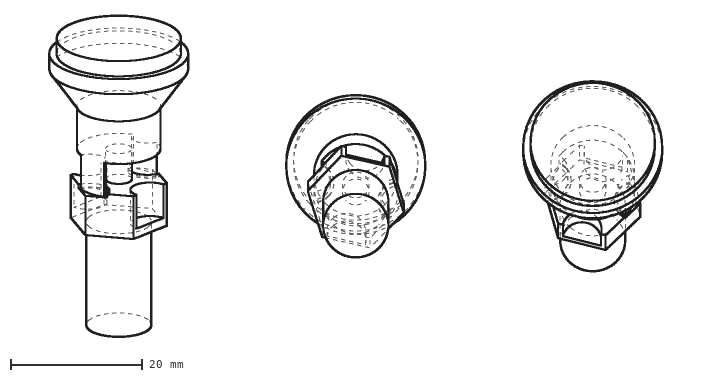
import cadquery as cq
import math

total_height = 47.0
hex_height = 7.0
pin_gap = 5.0
collar_height = 7.0
cone_height = 6.1
rim_height = 2.5
cap_height = 2.5

rim_radius = 10.6
cap_radius = 9.5
collar_radius = 6.4
shaft_radius = 5.0
pin_radius = 2.0
hex_across_flats = 13.0

leg_axis_radius = hex_across_flats / 2
leg_radius = 2.5
recess_radius = 3.0
detent_depth = 0.55
notch_depth = 5.5
leg_angles = (-60, 120)
notch_angles = (30, 210)

cap_bottom = total_height - cap_height
rim_bottom = cap_bottom - rim_height
collar_top = rim_bottom - cone_height
collar_bottom = collar_top - collar_height
hex_top = collar_bottom - pin_gap
hex_bottom = hex_top - hex_height
detent_floor = hex_top - detent_depth
notch_floor = hex_top - notch_depth


def cylinder(radius, bottom, top):
    return cq.Workplane("XY").workplane(offset=bottom).circle(radius).extrude(top - bottom)


def edge_cylinder(radius, angle, bottom, top):
    """Cylinder whose axis is one hexagon apothem from the centre, at the given angle."""
    x = leg_axis_radius * math.cos(math.radians(angle))
    y = leg_axis_radius * math.sin(math.radians(angle))
    return cylinder(radius, bottom, top).translate((x, y, 0))


def make_knob():
    """Collar, flared head and cap as one revolved body."""
    profile = [
        (0, collar_bottom),
        (collar_radius, collar_bottom),
        (collar_radius, collar_top),
        (rim_radius, rim_bottom),
        (rim_radius, cap_bottom),
        (cap_radius, cap_bottom),
        (cap_radius, total_height),
        (0, total_height),
    ]
    return cq.Workplane("XZ").polyline(profile).close().revolve(360, (0, 0), (0, 1))


def make_hex():
    """Hexagon with corners on X, two shallow detents and two deep notches."""
    across_corners = hex_across_flats / math.cos(math.radians(30))
    body = cq.Workplane("XY").workplane(offset=hex_bottom).polygon(6, across_corners).extrude(hex_height)
    for angle in leg_angles:
        body = body.cut(edge_cylinder(recess_radius, angle, detent_floor, hex_top))
    for angle in notch_angles:
        body = body.cut(edge_cylinder(recess_radius, angle, notch_floor, hex_top))
    return body


def make_leg(angle):
    """Round leg trimmed to the outside of the collar, resting on its detent floor."""
    leg = edge_cylinder(leg_radius, angle, detent_floor, collar_bottom)
    return leg.intersect(cylinder(collar_radius, detent_floor, collar_bottom))


shaft = cylinder(shaft_radius, 0, hex_bottom)
pin = cylinder(pin_radius, hex_top, collar_bottom)

result = shaft.union(make_hex()).union(pin).union(make_knob())
for leg_angle in leg_angles:
    result = result.union(make_leg(leg_angle))